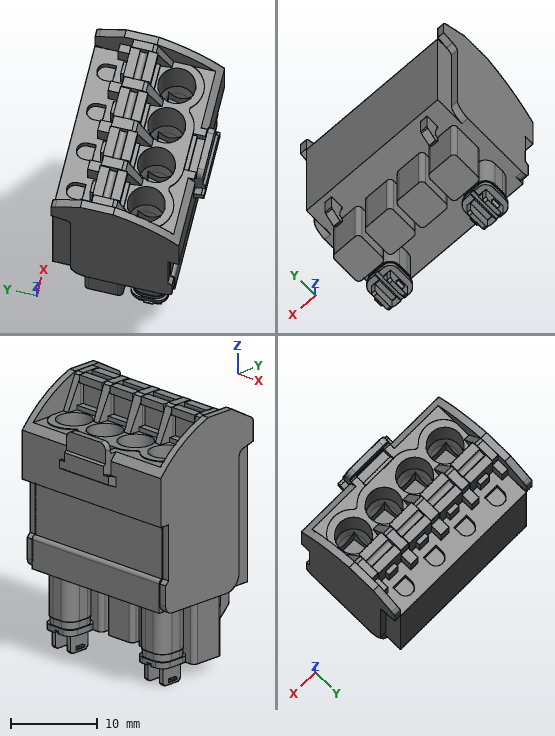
import cadquery as cq
import math


ARC_MID = math.sqrt(0.5)
overlap = 0.5

width = 22.5
plate_thickness = 0.94
core_half_width = width / 2 - plate_thickness
head_front = -15.18
head_bottom = 11.0
waist_front = -14.0
lip_front = -14.49
lip_top = 4.1
lip_round = waist_front - lip_front
plate_setback = 0.12

top_z = 22.5
rear_floor_z = 17.3
front_floor_z = 18.0
funnel_floor_z = 18.1
plate_bottom_round = 1.05
plate_rear = -2.33
plate_rear_foot = (-4.1, 0)
ear_chamfer = ((-3.5, top_z), (-0.5, 20.75))
ear_round_middle = (-0.12, 20.45)
ear_round_end = (0, 20.15)
ear_root = -1.5
ear_bottom_z = (17.6, 17.2)
arc_start = (-7.4, top_z)
arc_middle = (-11.5, 20.42)
arc_end = (head_front, 17.05)

pole_pitch = 5.0
pole_xs = [(i - 1.5) * pole_pitch for i in range(4)]
rib_xs = [(i - 1) * pole_pitch for i in range(3)]

entry_y = -10.42
entry_radius = 2.18
entry_depth = 6.0
cone_stages = ((1.2, 1.75), (1.0, 1.3))
clamp_width = 2.88
clamp_length = 2.64
clamp_depth = 0.5
clamp_floor_angle = 34.0
scallop_y = -10.68
scallop_radius = 2.92
scallop_cusp_round = 0.5

block_width = 3.66
block_back = -4.5
bar_front = -7.75
bar_bottom_z = 21.4
block_top_z = 22.38
block_front = -7.1
ledge_front = -8.0
ledge_z = 18.67
ledge_width = 3.85
finger_groove_radius = 0.47
finger_groove_y = -6.13
finger_groove_drop = 0.35
nub_width = 1.46
nub_depth = 0.57
nub_top_z = 20.0

rib_back = -3.0
rib_rear_top_z = 20.0
rib_step = -4.6
rib_shoulder = -7.05
rib_nose = (-7.5, 22.2)
rib_top_z = 22.46
rib_toe = -9.35
rib_width_middle = 1.33
rib_width_side = 1.2
rib_toe_narrowing = 0.4
end_rib_width = 0.95

opening_width = 2.04
opening_front = -3.0
opening_depth = 1.0

tab_half_width = 3.17
tab_wing_half_width = 3.97
tab_top_z = 19.4
tab_back = -15.27
tab_front = -16.08
tab_nose = -16.41
tab_corner_radius = 0.9
tab_bottom_z = 14.06
tab_nose_bottom_z = 14.62
tab_nose_top_z = 16.75
tab_nose_bevel = 0.2
tab_heel = (0.2, 0.25)
wing_root_top_z = 15.3
wing_tip_top_z = 15.65
tab_anchor = scallop_y - scallop_radius
pocket_step = -14.1
pocket_depths = (0.5, 1.2)

square_pin_size = (4.24, 4.58)
square_pin_y = -5.8
square_pin_length = 8.3
square_pin_radius = 0.57
round_pin_size = 4.33
round_pin_y = -11.1
round_pin_radius = 1.53
round_pin_length = 5.85
neck_inset = 0.08
collar_top_z = -6.75
collar_bottom_z = -7.5
collar_size = 4.46
collar_radius = 1.2
leg_tip_z = -9.93
leg_outer_half = 1.48
leg_inner_half = 0.95
leg_width = 2.92
leg_corner = 0.35
web_thickness = 0.25
keyhole_width = 0.55
keyhole_top_z = -7.2
barb_width = 1.1
barb_reach = 0.36
barb_top_z = -9.2
barb_drop = 0.4
barb_root = 0.1

hook_xs = (pole_xs[0], pole_xs[-1])
hook_width = 1.0
hook_back = -0.69
hook_front = -2.55
hook_throat = -2.09


def extrude_x(outline, x_start, x_end):
    """Extrude a closed YZ outline between two X positions."""
    return outline.extrude(x_end - x_start).translate((x_start, 0, 0))


def box(x_range, y_range, z_range):
    """Axis-aligned box from its limits."""
    spans = [sorted(limits) for limits in (x_range, y_range, z_range)]
    size = [high - low for low, high in spans]
    corner = [low for low, high in spans]
    return cq.Workplane("XY").box(*size, centered=False).translate(tuple(corner))


def across(x, size):
    """Limits of a span of the given size centred on x."""
    return (x - size / 2, x + size / 2)


def rounded_post(x, y, size, z_top, z_bottom, radius):
    """Vertical post with rounded corners."""
    post = box(across(x, size[0]), across(y, size[1]), (z_bottom, z_top))
    return post.edges("|Z").fillet(radius)


def end_plate(x_start, x_end):
    """Side wall with the domed top and a rounded cut-away along its back."""
    plate_waist = waist_front + plate_setback
    plate_lip = lip_front + plate_setback
    outline = (
        cq.Workplane("YZ")
        .moveTo(*plate_rear_foot)
        .lineTo(plate_lip + plate_bottom_round, 0)
        .threePointArc(
            (plate_lip + plate_bottom_round * (1 - ARC_MID), plate_bottom_round * (1 - ARC_MID)),
            (plate_lip, plate_bottom_round),
        )
        .lineTo(plate_lip, lip_top - lip_round)
        .lineTo(plate_waist, lip_top)
        .lineTo(plate_waist, head_bottom)
        .lineTo(head_front, head_bottom)
        .lineTo(*arc_end)
        .threePointArc(arc_middle, arc_start)
        .lineTo(*ear_chamfer[0])
        .lineTo(*ear_chamfer[1])
        .threePointArc(ear_round_middle, ear_round_end)
        .lineTo(0, ear_bottom_z[0])
        .lineTo(ear_root, ear_bottom_z[1])
        .threePointArc((-2.1, 16.9), (plate_rear, 16.4))
        .lineTo(plate_rear, 2.0)
        .threePointArc((-2.84, 0.72), plate_rear_foot)
        .close()
    )
    return extrude_x(outline, x_start, x_end)


def core():
    """Body between the end plates, plus the full-width head below the rim."""
    beyond_front = head_front - 1
    outline = (
        cq.Workplane("YZ")
        .moveTo(0, 0)
        .lineTo(lip_front, 0)
        .lineTo(lip_front, lip_top - lip_round)
        .threePointArc(
            (waist_front - lip_round * ARC_MID, lip_top - lip_round * (1 - ARC_MID)),
            (waist_front, lip_top),
        )
        .lineTo(waist_front, head_bottom)
        .lineTo(beyond_front, head_bottom)
        .lineTo(beyond_front, front_floor_z)
        .lineTo(block_back, front_floor_z)
        .lineTo(block_back, rear_floor_z)
        .lineTo(0, rear_floor_z)
        .close()
    )
    dome = (
        cq.Workplane("YZ")
        .moveTo(0, 0)
        .lineTo(head_front, 0)
        .lineTo(*arc_end)
        .threePointArc(arc_middle, arc_start)
        .lineTo(0, top_z)
        .close()
    )
    body = extrude_x(outline, -core_half_width, core_half_width)
    return body.intersect(extrude_x(dome, -core_half_width, core_half_width))


def funnel_floor():
    """Slightly raised floor with a scalloped front edge around the wire entries."""
    z_range = (front_floor_z - overlap, funnel_floor_z)
    floor = box((-core_half_width, core_half_width), (block_back, scallop_y), z_range)
    for x in pole_xs:
        disc = cq.Workplane("XY").workplane(offset=z_range[0]).center(x, scallop_y)
        floor = floor.union(disc.circle(scallop_radius).extrude(z_range[1] - z_range[0]))
    inner_span = box(across(0, pole_pitch), (scallop_y, scallop_y - scallop_radius), z_range)
    floor = floor.union(inner_span)
    cusp_y = scallop_y - math.sqrt(scallop_radius**2 - (pole_pitch / 2) ** 2)
    for x in (-pole_pitch, pole_pitch):
        near_cusp = cq.selectors.BoxSelector(
            (x - overlap, cusp_y - overlap, 0), (x + overlap, cusp_y + overlap, top_z)
        )
        floor = floor.edges("|Z").edges(near_cusp).fillet(scallop_cusp_round)
    return floor.intersect(box((-core_half_width, core_half_width), (0, head_front), z_range))


def wire_entry(x):
    """Round entry, tapering to a rectangular clamp chamber with a sloping floor."""
    taper_z = funnel_floor_z - entry_depth
    taper_radius = entry_radius
    entry = cq.Workplane("XY").workplane(offset=taper_z).center(x, entry_y)
    entry = entry.circle(entry_radius).extrude(entry_depth + 1)
    chamber_top = taper_z
    for depth, end_radius in cone_stages:
        cone = cq.Solid.makeCone(
            taper_radius, end_radius, depth, cq.Vector(x, entry_y, taper_z), cq.Vector(0, 0, -1)
        )
        entry = entry.union(cq.Workplane(cone))
        taper_z -= depth
        taper_radius = end_radius
    clamp_fall = clamp_length * math.tan(math.radians(clamp_floor_angle))
    back_y = entry_y + clamp_length / 2
    front_y = entry_y - clamp_length / 2
    chamber = cq.Workplane("YZ").polyline([
        (back_y, chamber_top),
        (front_y, chamber_top),
        (front_y, taper_z - clamp_depth - clamp_fall),
        (back_y, taper_z - clamp_depth),
    ]).close()
    return entry.union(extrude_x(chamber, *across(x, clamp_width)))


def lever_block(x):
    """Actuator block with an overhanging front bar, finger groove, ledge and rear nub."""
    outline = cq.Workplane("YZ").polyline([
        (block_back, rear_floor_z - overlap),
        (block_back, block_top_z),
        (bar_front, block_top_z),
        (bar_front, bar_bottom_z),
        (block_front, bar_bottom_z),
        (block_front, rear_floor_z - overlap),
    ]).close()
    block = extrude_x(outline, *across(x, block_width))
    groove_axis_z = block_top_z - finger_groove_drop
    groove = cq.Workplane("YZ").center(finger_groove_y, groove_axis_z).circle(finger_groove_radius)
    groove_mouth = box(
        across(x, block_width),
        across(finger_groove_y, 2 * finger_groove_radius),
        (groove_axis_z, block_top_z),
    )
    block = block.cut(extrude_x(groove, *across(x, block_width))).cut(groove_mouth)
    ledge = box(
        across(x, ledge_width),
        (block_front + overlap, ledge_front),
        (front_floor_z - overlap, ledge_z),
    )
    nub = box(
        across(x, nub_width),
        (block_back, block_back + nub_depth),
        (rear_floor_z - overlap, nub_top_z),
    )
    return block.union(ledge).union(nub)


def rib(x, rib_width):
    """Partition with a low rear part and a sloping front that narrows to its toe."""
    outline = cq.Workplane("YZ").polyline([
        (rib_back, rear_floor_z - overlap),
        (rib_back, rib_rear_top_z),
        (rib_step, rib_rear_top_z),
        (rib_step, rib_top_z),
        (rib_shoulder, rib_top_z),
        rib_nose,
        (rib_toe, funnel_floor_z),
        (rib_toe, rear_floor_z - overlap),
    ]).close()
    solid = extrude_x(outline, *across(x, rib_width))
    for side in (-1, 1):
        edge = x + side * rib_width / 2
        wedge = cq.Workplane("XY").polyline([
            (edge, rib_nose[0]),
            (edge - side * rib_toe_narrowing / 2, rib_toe),
            (edge + side, rib_toe),
            (edge + side, rib_nose[0]),
        ]).close().extrude(top_z)
        solid = solid.cut(wedge)
    return solid


def test_opening(x):
    """Shallow D-shaped opening in the rear floor."""
    radius = opening_width / 2
    centre_y = opening_front + radius
    plane = cq.Workplane("XY").workplane(offset=rear_floor_z - opening_depth)
    return (
        plane.moveTo(x - radius, opening_front)
        .lineTo(x + radius, opening_front)
        .lineTo(x + radius, centre_y)
        .threePointArc((x, centre_y + radius), (x - radius, centre_y))
        .close()
        .extrude(opening_depth)
    )


def latch_tab():
    """Release tab with a rounded top, a nose and two wings at its foot."""
    outline = cq.Workplane("YZ").polyline([
        (tab_back, tab_top_z),
        (tab_front, tab_top_z),
        (tab_front, tab_nose_top_z + tab_nose_bevel),
        (tab_nose, tab_nose_top_z),
        (tab_nose, tab_nose_bottom_z),
        (head_front, tab_bottom_z),
        (tab_anchor, tab_bottom_z),
        (tab_anchor, front_floor_z),
        (tab_back + tab_heel[0], front_floor_z),
        (tab_back, front_floor_z + tab_heel[1]),
    ]).close()
    tab = extrude_x(outline, -tab_half_width, tab_half_width)
    corners = box((-tab_half_width, tab_half_width), (0, tab_nose), (0, tab_top_z))
    corners = corners.edges("|Y").edges(">Z").fillet(tab_corner_radius)
    tab = tab.intersect(corners)
    wing = cq.Workplane("YZ").polyline([
        (head_front + overlap, wing_root_top_z),
        (head_front, wing_root_top_z),
        (tab_front, wing_tip_top_z),
        (tab_nose, wing_tip_top_z),
        (tab_nose, tab_nose_bottom_z),
        (head_front, tab_bottom_z),
        (head_front + overlap, tab_bottom_z),
    ]).close()
    return tab.union(extrude_x(wing, -tab_wing_half_width, tab_wing_half_width))


def tab_pocket():
    """Stepped relief between the scalloped floor and the release tab."""
    x_range = across(0, 2 * (tab_half_width - tab_corner_radius))
    shallow = box(x_range, (tab_anchor, tab_back), (front_floor_z - pocket_depths[0], funnel_floor_z))
    deep = box(x_range, (pocket_step, tab_back), (front_floor_z - pocket_depths[1], funnel_floor_z))
    return shallow.union(deep)


def round_pin(x):
    """Coding pin: rounded post, neck, collar and a forked clip with barbs."""
    neck_size = round_pin_size - 2 * neck_inset
    pin = rounded_post(x, round_pin_y, (round_pin_size,) * 2, overlap, -round_pin_length, round_pin_radius)
    neck = rounded_post(x, round_pin_y, (neck_size,) * 2, 0, collar_top_z, round_pin_radius - neck_inset)
    collar = rounded_post(x, round_pin_y, (collar_size,) * 2, collar_top_z, collar_bottom_z, collar_radius)
    clip = box(across(x, 2 * leg_outer_half), across(round_pin_y, leg_width), (collar_bottom_z, leg_tip_z))
    clip = clip.edges("|X").edges("<Z").chamfer(leg_corner)
    gap = box(
        across(x, 2 * leg_inner_half),
        across(round_pin_y, collar_size),
        (collar_bottom_z - web_thickness, leg_tip_z),
    )
    pin = pin.union(neck).union(collar).union(clip.cut(gap))
    for side in (-1, 1):
        root_x = x + side * (leg_outer_half - barb_root)
        tip_x = x + side * (leg_outer_half + barb_reach)
        barb = (
            cq.Workplane("XZ")
            .polyline([
                (root_x, barb_top_z),
                (tip_x, barb_top_z),
                (tip_x, barb_top_z - barb_drop / 2),
                (root_x, leg_tip_z + barb_drop / 2),
            ])
            .close()
            .extrude(barb_width)
            .translate((0, round_pin_y + barb_width / 2, 0))
        )
        pin = pin.union(barb)
    keyhole = box(
        across(x, keyhole_width),
        across(round_pin_y, collar_size),
        (keyhole_top_z, collar_bottom_z - web_thickness),
    )
    return pin.cut(keyhole)


def coding_hook(x):
    """Hooked snap arm hanging below the back edge."""
    outline = cq.Workplane("YZ").polyline([
        (hook_back, overlap),
        (hook_back, -2.9),
        (-0.8, -3.2),
        (-2.13, -4.5),
        (hook_front, -4.0),
        (hook_front, -3.3),
        (hook_throat, -2.9),
        (hook_throat, -2.0),
        (hook_front, 0),
        (hook_front, overlap),
    ]).close()
    return extrude_x(outline, *across(x, hook_width))


housing = core().union(funnel_floor())
housing = housing.union(end_plate(-width / 2, -core_half_width))
housing = housing.union(end_plate(core_half_width, width / 2))

for rib_x in rib_xs:
    housing = housing.union(rib(rib_x, rib_width_middle if rib_x == 0 else rib_width_side))
rib_room = box((-core_half_width - overlap, core_half_width + overlap), (0, head_front), (0, top_z))
for end_x in (-core_half_width, core_half_width):
    housing = housing.union(rib(end_x, 2 * end_rib_width).intersect(rib_room))

for pole_x in pole_xs:
    housing = housing.union(lever_block(pole_x))
    housing = housing.cut(wire_entry(pole_x))
    housing = housing.cut(test_opening(pole_x))
    housing = housing.union(
        rounded_post(pole_x, square_pin_y, square_pin_size, overlap, -square_pin_length, square_pin_radius)
    )

housing = housing.union(latch_tab()).cut(tab_pocket())
for pin_x in (pole_xs[0], pole_xs[-1]):
    housing = housing.union(round_pin(pin_x))
for hook_x in hook_xs:
    housing = housing.union(coding_hook(hook_x))

result = housing